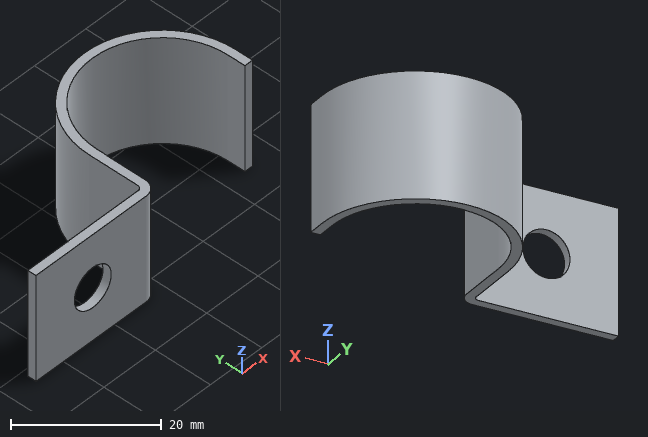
import cadquery as cq

length = 50.7
depth = 25.3
width = 19.05
thickness = 1.5

arch_outer_radius = 14.25
arch_inner_radius = arch_outer_radius - thickness
bend_inner_radius = 0.75
bend_outer_radius = bend_inner_radius + thickness
free_leg_length = 3.1

hole_diameter = 7.15
hole_x = 11.05

arch_x = length - arch_outer_radius
arch_y = depth - arch_outer_radius
leg_outer_x = arch_x - arch_outer_radius
leg_inner_x = leg_outer_x + thickness
free_end_y = arch_y - free_leg_length


def make_strap():
    """Bent strip: flat flange, upright leg, half-round arch and short free leg."""
    profile = (
        cq.Workplane("XY")
        .moveTo(0, 0)
        .lineTo(leg_inner_x - bend_outer_radius, 0)
        .radiusArc((leg_inner_x, bend_outer_radius), -bend_outer_radius)
        .lineTo(leg_inner_x, arch_y)
        .threePointArc((arch_x, arch_y + arch_inner_radius), (arch_x + arch_inner_radius, arch_y))
        .lineTo(arch_x + arch_inner_radius, free_end_y)
        .lineTo(length, free_end_y)
        .lineTo(length, arch_y)
        .threePointArc((arch_x, depth), (leg_outer_x, arch_y))
        .lineTo(leg_outer_x, bend_outer_radius)
        .radiusArc((leg_outer_x - bend_inner_radius, thickness), bend_inner_radius)
        .lineTo(0, thickness)
        .close()
    )
    return profile.extrude(width)


def make_mounting_hole():
    """Cylinder through the flange at mid-width."""
    return (
        cq.Workplane("XZ")
        .center(hole_x, width / 2)
        .circle(hole_diameter / 2)
        .extrude(-thickness)
    )


result = make_strap().cut(make_mounting_hole())